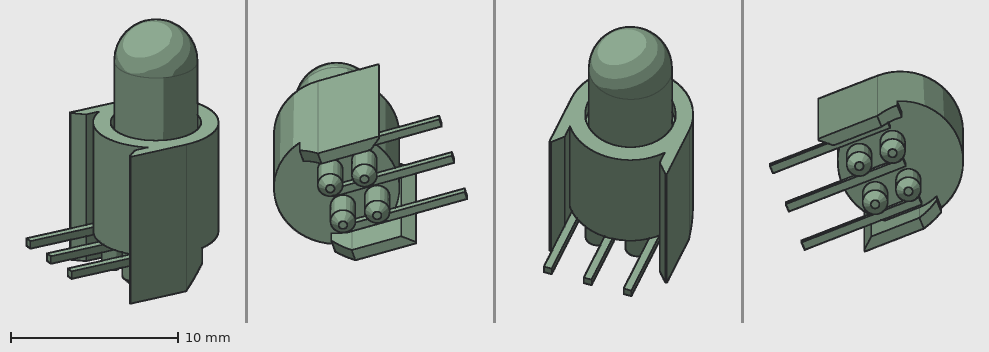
import cadquery as cq
import math

housing_radius = 3.75
housing_bottom = 2.5
housing_top = 9.6

wing_inner_x = 3.03
wing_tip_width = 0.11
wing_tip_x = housing_radius - wing_tip_width
wing_front_y = -3.8
wing_bevel_y = -3.09
wing_back_y = 1.2
wing_chamfer_height = 1.5

overall_height = 16.1
lens_radius = 2.5
recess_clearance = 0.21
recess_radius = lens_radius + recess_clearance
recess_depth = 1.0

lead_count = 3
lead_width = 0.5
lead_pitch = 2.55
lead_front_y = -7.3
lead_back_y = lead_width / 2

peg_diameter = 1.5
peg_radius = peg_diameter / 2
peg_tip_radius = 0.25
peg_tip_height = 0.5
peg_offset = lead_pitch / 2
peg_row_spacing = 2.14


def make_block():
    """Full-height block: a half circle behind the axis, straight sides in front."""
    return (
        cq.Workplane("XY")
        .moveTo(-housing_radius, 0)
        .threePointArc((0, housing_radius), (housing_radius, 0))
        .lineTo(housing_radius, wing_front_y)
        .lineTo(-housing_radius, wing_front_y)
        .close()
        .extrude(housing_top)
    )


def make_front_gap():
    """Space between the wings in front of the round housing wall, bevelled at the wing tips."""
    wall_y = -math.sqrt(housing_radius**2 - wing_inner_x**2)
    return (
        cq.Workplane("XY")
        .moveTo(-wing_inner_x, wall_y)
        .threePointArc((0, -housing_radius), (wing_inner_x, wall_y))
        .lineTo(wing_inner_x, wing_bevel_y)
        .lineTo(wing_tip_x, wing_front_y)
        .lineTo(-wing_tip_x, wing_front_y)
        .lineTo(-wing_inner_x, wing_bevel_y)
        .close()
        .extrude(housing_top)
    )


def make_underside_gap():
    """Space between the wings below the housing, rounded behind the axis."""
    return (
        cq.Workplane("XY")
        .moveTo(-wing_inner_x, 0)
        .threePointArc((0, wing_inner_x), (wing_inner_x, 0))
        .lineTo(wing_inner_x, wing_front_y)
        .lineTo(-wing_inner_x, wing_front_y)
        .close()
        .extrude(housing_bottom)
    )


def make_rear_cut():
    """Space behind the wings below the housing, with a slope at their lower rear corners."""
    return (
        cq.Workplane("YZ")
        .moveTo(0, 0)
        .lineTo(wing_back_y, wing_chamfer_height)
        .lineTo(wing_back_y, housing_bottom)
        .lineTo(housing_radius, housing_bottom)
        .lineTo(housing_radius, 0)
        .close()
        .extrude(housing_radius, both=True)
    )


def make_recess():
    """Shallow bore in the housing's top face."""
    return (
        cq.Workplane("XY")
        .workplane(offset=housing_top - recess_depth)
        .circle(recess_radius)
        .extrude(recess_depth)
    )


def make_lens():
    """Round column with a hemispherical end, rooted in the recess floor."""
    root = housing_top - recess_depth
    column_top = overall_height - lens_radius
    column = cq.Workplane("XY").workplane(offset=root).circle(lens_radius).extrude(column_top - root)
    dome = cq.Workplane("XY").sphere(lens_radius).translate((0, 0, column_top))
    return column.union(dome)


def make_peg(x, y):
    """Peg hanging from the housing down to z = 0, narrowing at its tip."""
    profile = [
        (0, 0),
        (peg_tip_radius, 0),
        (peg_radius, peg_tip_height),
        (peg_radius, housing_bottom),
        (0, housing_bottom),
    ]
    return cq.Workplane("XZ").polyline(profile).close().revolve(360, (0, 0), (0, 1)).translate((x, y, 0))


def make_lead(x):
    """Square bar against the housing's underside, starting just behind the axis."""
    return (
        cq.Workplane("XY")
        .box(lead_width, lead_back_y - lead_front_y, lead_width, centered=(True, False, False))
        .translate((x, lead_front_y, housing_bottom - lead_width))
    )


result = make_block()
for gap in (make_front_gap(), make_underside_gap(), make_rear_cut(), make_recess()):
    result = result.cut(gap)
result = result.union(make_lens())
for row_y in (0, -peg_row_spacing):
    for peg_x in (-peg_offset, peg_offset):
        result = result.union(make_peg(peg_x, row_y))
for index in range(lead_count):
    lead_x = (index - (lead_count - 1) / 2) * lead_pitch
    result = result.union(make_lead(lead_x))